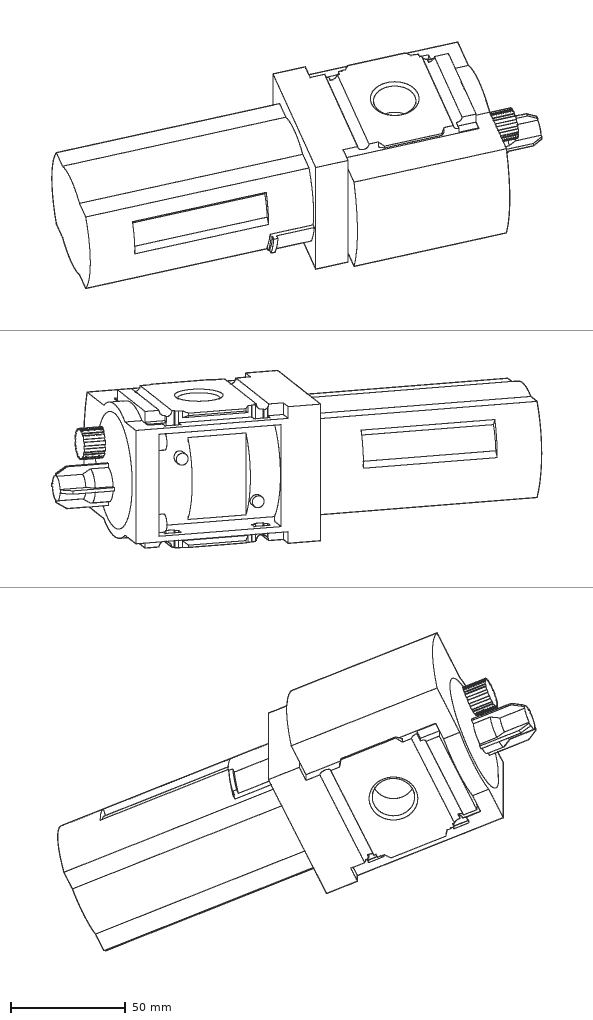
import cadquery as cq
import math


overall_width = 75.7
overall_length = 215.8
overall_height = 62.0

knob_top_y = 65.5
dial_top_y = 51.5
dome_top_y = 41.9
head_top_y = 38.8
cap_bottom_y = 31.0
frame_bottom_y = -31.3
flange_bottom_y = -46.2
bowl_bottom_y = -149.0
bowl_tip_y = knob_top_y - overall_length

head_half_x = 31.0
head_half_z = overall_height / 2
frame_half_z = 25.7
core_half_x = 24.0
barrel_radius = 30.0
cover_edge_x = 39.7
cover_face_x = overall_width - head_half_x
corner_notch_width = 3.9
corner_notch_end_y = 22.0
corner_notch_floor_z = 26.1
groove_radius = 2.5
groove_y = 22.0

port_diameter = 18.5
port_mouth_diameter = 21.4
port_mouth_depth = 1.3
port_depth = 17.3

window_half_y = 28.0
window_half_z = 23.0
barrel_half_z = 21.0
window_fillet = 0.9
flat_half_z = 18.5
flat_top_y = 12.5
flat_bottom_y = -14.2
pin_diameter = 5.5
pin_y = 17.5
pin_z = 11.0
screw_radius = 4.0
screw_x = -26.0
screw_z = 18.5
screw_end_y = 24.2

pad_base_half_y = 15.0
pad_tip_half_y = 13.2
pad_tip_x = 26.8
pad_base_bottom_z = 27.8
pad_tip_top_z = 30.5
pad_tip_bottom_z = 29.3
slot_y = 20.5
slot_half_y = 3.7
slot_neck_half_y = 2.05
slot_outer_x = -27.2
slot_step_x = -23.7
slot_inner_x = -22.2

bowl_half_x = 28.0
bowl_corner_x = 21.4
bowl_flat_z = 21.8
bowl_bulge_radius = 25.0
base_ring_radius = 21.5
base_disc_radius = 11.9
sight_top_y = -67.0
sight_bottom_y = -128.5
sight_floor_radius = 26.1
sight_clearance = 2.2
sight_outer_z = (-0.5, 16.0)
sight_floor_z = (2.2, 13.2)
latch_z = (-19.6, -7.3)
latch_thickness = 1.7
latch_end_y = -66.0
latch_nub_height = 3.5
latch_nub_y = (-65.4, -63.5)

dome_radius = 26.0
dome_flat_radius = 13.5
knob_z = -6.0
knob_stem_radius = 5.6
knob_body_radius = 7.8
knob_cone_y = (50.0, 53.7)
fin_half_width = 9.5
fin_top_half_width = 6.5
fin_chamfer_y = 60.9
fin_thickness = 1.5
dial_x = 10.1
dial_z = 10.4
dial_radius = 7.0
dial_groove_count = 14
dial_groove_width = 1.3
dial_groove_depth = 0.55


def block(x_range, y_range, z_range):
    """Box between two limits along each axis."""
    size = [abs(r[1] - r[0]) for r in (x_range, y_range, z_range)]
    middle = tuple((r[0] + r[1]) / 2 for r in (x_range, y_range, z_range))
    return cq.Workplane("XY").box(*size).translate(middle)


def section_at(y_level):
    """Sketch plane across the Y axis, with local axes X and Z; extrudes toward -Y."""
    return cq.Workplane("XZ", origin=(0, y_level, 0))


def cylinder_y(x, z, radius, y_top, y_bottom):
    return section_at(y_top).center(x, z).circle(radius).extrude(y_top - y_bottom)


def both_z(solid):
    """The solid together with its mirror image below Z = 0."""
    return solid.union(solid.mirror("XY"))


def arc_radius(half_chord, rise):
    return (half_chord**2 + rise**2) / (2 * rise)


def make_frame():
    """Cap and side arms, with the rounded cover on +X."""
    frame = (
        section_at(head_top_y)
        .moveTo(-head_half_x, -frame_half_z)
        .lineTo(cover_edge_x, -frame_half_z)
        .threePointArc((cover_face_x, 0), (cover_edge_x, frame_half_z))
        .lineTo(-head_half_x, frame_half_z)
        .close()
        .extrude(head_top_y - frame_bottom_y)
    )
    return frame.union(cylinder_y(0, 0, barrel_radius, head_top_y, cap_bottom_y))


def make_core():
    """Valve core with cross grooves and corner notches."""
    core = block(
        (-core_half_x, core_half_x), (frame_bottom_y, cap_bottom_y), (-head_half_z, head_half_z)
    )
    for y in (-groove_y, groove_y):
        groove = (
            cq.Workplane("YZ", origin=(-core_half_x, 0, 0))
            .center(y, head_half_z)
            .circle(groove_radius)
            .extrude(2 * core_half_x)
        )
        core = core.cut(both_z(groove))

    for side in (-1, 1):
        notch = block(
            (side * (core_half_x - corner_notch_width), side * core_half_x),
            (corner_notch_end_y, cap_bottom_y),
            (corner_notch_floor_z, head_half_z),
        )
        core = core.cut(both_z(notch))
    return core


def make_window():
    """Recess in the -X side around a round barrel that carries a flat."""
    recess_floor_x = -math.sqrt(barrel_radius**2 - barrel_half_z**2)
    flat_x = -math.sqrt(barrel_radius**2 - flat_half_z**2)
    recess = block(
        (-head_half_x, recess_floor_x),
        (-window_half_y, window_half_y),
        (-window_half_z, window_half_z),
    )
    recess = recess.edges("|Y and >X").fillet(window_fillet)
    barrel = cylinder_y(0, 0, barrel_radius, window_half_y, -window_half_y)
    flat = block(
        (-barrel_radius, flat_x), (flat_bottom_y, flat_top_y), (-flat_half_z, flat_half_z)
    )
    return recess.cut(barrel.cut(flat))


def make_port():
    straight = (
        cq.Workplane("XY", origin=(0, 0, head_half_z - port_depth))
        .circle(port_diameter / 2)
        .extrude(port_depth)
    )
    mouth = (
        cq.Workplane("XY", origin=(0, 0, head_half_z - port_mouth_depth))
        .circle(port_diameter / 2)
        .workplane(offset=port_mouth_depth)
        .circle(port_mouth_diameter / 2)
        .loft()
    )
    return straight.union(mouth)


def make_pad():
    """Tapered pad on the -X flank of the core, just below its top face."""
    base_mid_z = (head_half_z + pad_base_bottom_z) / 2
    tip_mid_z = (pad_tip_top_z + pad_tip_bottom_z) / 2
    return (
        cq.Workplane("YZ", origin=(-core_half_x, 0, 0))
        .center(0, base_mid_z)
        .rect(2 * pad_base_half_y, head_half_z - pad_base_bottom_z)
        .workplane(offset=core_half_x - pad_tip_x)
        .center(0, tip_mid_z - base_mid_z)
        .rect(2 * pad_tip_half_y, pad_tip_top_z - pad_tip_bottom_z)
        .loft()
    )


def make_key_slot(y):
    """Slot down through the -X arm with a narrower neck in the core."""
    z_range = (window_half_z, head_half_z)
    wide = block((slot_outer_x, slot_step_x), (y - slot_half_y, y + slot_half_y), z_range)
    neck_range = (y - slot_neck_half_y, y + slot_neck_half_y)
    return wide.union(block((slot_outer_x, slot_inner_x), neck_range, z_range))


def make_window_pins():
    """Two pins flush with the -X face and two screw ends on the window's +Y wall."""
    pins = (
        cq.Workplane("YZ", origin=(-head_half_x, 0, 0))
        .pushPoints([(pin_y, pin_z), (-pin_y, -pin_z)])
        .circle(pin_diameter / 2)
        .extrude(head_half_x - core_half_x)
    )
    screw = cylinder_y(screw_x, screw_z, screw_radius, window_half_y, screw_end_y)
    return pins.union(both_z(screw))


def make_head():
    flange = block(
        (-head_half_x, head_half_x), (flange_bottom_y, frame_bottom_y), (-head_half_z, head_half_z)
    )
    pads = both_z(make_pad())
    head = make_frame().union(make_core()).union(flange)
    head = head.union(pads).union(pads.mirror("YZ"))
    head = head.cut(both_z(make_port())).cut(make_window())
    for y in (-slot_y, slot_y):
        head = head.cut(both_z(make_key_slot(y)))
    return head.union(make_window_pins())


bowl_side_radius = arc_radius(bowl_flat_z, bowl_half_x - bowl_corner_x)


def bowl_side_x(z, offset=0.0):
    """X of the bowl's +X side at height z, with the surface moved outward by offset."""
    center_x = bowl_half_x - bowl_side_radius
    return center_x + math.sqrt((bowl_side_radius + offset) ** 2 - z**2)


def side_band(z_range, outer, inner, y_top, y_bottom):
    """Bar that follows the bowl's +X side between two offsets of its surface."""
    z_low, z_high = z_range
    z_middle = (z_low + z_high) / 2
    return (
        section_at(y_top)
        .moveTo(bowl_side_x(z_low, outer), z_low)
        .threePointArc((bowl_side_x(z_middle, outer), z_middle), (bowl_side_x(z_high, outer), z_high))
        .lineTo(bowl_side_x(z_high, inner), z_high)
        .threePointArc((bowl_side_x(z_middle, inner), z_middle), (bowl_side_x(z_low, inner), z_low))
        .close()
        .extrude(y_top - y_bottom)
    )


def make_sight():
    """Window recess in the bowl's +X side with slanted walls and a round floor."""
    floor_low, floor_high = sight_floor_z
    floor_middle = (floor_low + floor_high) / 2
    outer_low, outer_high = sight_outer_z

    def floor_point(z):
        return (math.sqrt(sight_floor_radius**2 - z**2), z)

    return (
        section_at(sight_top_y)
        .moveTo(*floor_point(floor_low))
        .threePointArc(floor_point(floor_middle), floor_point(floor_high))
        .lineTo(bowl_side_x(outer_high), outer_high)
        .lineTo(bowl_half_x + sight_clearance, outer_high)
        .lineTo(bowl_half_x + sight_clearance, outer_low)
        .lineTo(bowl_side_x(outer_low), outer_low)
        .close()
        .extrude(sight_top_y - sight_bottom_y)
    )


def make_bowl():
    bowl = (
        section_at(flange_bottom_y)
        .moveTo(-bowl_corner_x, -bowl_flat_z)
        .lineTo(bowl_corner_x, -bowl_flat_z)
        .threePointArc((bowl_half_x, 0), (bowl_corner_x, bowl_flat_z))
        .lineTo(-bowl_corner_x, bowl_flat_z)
        .threePointArc((-bowl_half_x, 0), (-bowl_corner_x, -bowl_flat_z))
        .close()
        .extrude(flange_bottom_y - bowl_bottom_y)
    )
    bowl = bowl.union(cylinder_y(0, 0, bowl_bulge_radius, flange_bottom_y, bowl_bottom_y))
    base = (
        section_at(bowl_bottom_y)
        .circle(base_ring_radius)
        .workplane(offset=bowl_bottom_y - bowl_tip_y)
        .circle(base_disc_radius)
        .loft()
    )
    sight = make_sight()
    return bowl.union(base).cut(sight).cut(sight.mirror("YZ"))


def make_latch():
    """Thin latch strip on the +X side with a raised nub near its end."""
    root = -latch_thickness
    nub_bottom_y, nub_top_y = latch_nub_y
    strip = side_band(latch_z, latch_thickness, root, flange_bottom_y, latch_end_y)
    nub = side_band(latch_z, latch_nub_height, root, nub_top_y, nub_bottom_y)
    return strip.union(nub)


def make_dome():
    rise = dome_top_y - head_top_y
    edge_radius = arc_radius(dome_radius - dome_flat_radius, rise)
    middle_r = (dome_radius + dome_flat_radius) / 2
    edge_center_y = dome_top_y - edge_radius
    middle_y = edge_center_y + math.sqrt(edge_radius**2 - (middle_r - dome_flat_radius) ** 2)
    return (
        cq.Workplane("XY")
        .moveTo(0, head_top_y)
        .lineTo(dome_radius, head_top_y)
        .threePointArc((middle_r, middle_y), (dome_flat_radius, dome_top_y))
        .lineTo(0, dome_top_y)
        .close()
        .revolve(360, (0, 0, 0), (0, 1, 0))
    )


def make_knob():
    """Stepped stem with four chamfered fins."""
    cone_bottom_y, cone_top_y = knob_cone_y
    stem = (
        cq.Workplane("XY")
        .moveTo(0, head_top_y)
        .lineTo(knob_body_radius, head_top_y)
        .lineTo(knob_body_radius, cone_bottom_y)
        .lineTo(knob_stem_radius, cone_top_y)
        .lineTo(knob_stem_radius, knob_top_y)
        .lineTo(0, knob_top_y)
        .close()
        .revolve(360, (0, 0, 0), (0, 1, 0))
    )
    fin = (
        cq.Workplane("XY")
        .moveTo(-fin_half_width, head_top_y)
        .lineTo(fin_half_width, head_top_y)
        .lineTo(fin_half_width, fin_chamfer_y)
        .lineTo(fin_top_half_width, knob_top_y)
        .lineTo(-fin_top_half_width, knob_top_y)
        .lineTo(-fin_half_width, fin_chamfer_y)
        .close()
        .extrude(fin_thickness / 2, both=True)
    )
    cross_fin = fin.rotate((0, 0, 0), (0, 1, 0), 90)
    return stem.union(fin).union(cross_fin).translate((0, 0, knob_z))


def make_dial():
    """Small round dial with grooves around its rim."""
    height = dial_top_y - head_top_y
    grooves = (
        section_at(dial_top_y)
        .polarArray(dial_radius, 0, 360, dial_groove_count)
        .rect(2 * dial_groove_depth, dial_groove_width)
        .extrude(height)
    )
    dial = section_at(dial_top_y).circle(dial_radius).extrude(height).cut(grooves)
    return dial.translate((dial_x, 0, dial_z))


result = make_head().union(make_bowl()).union(make_latch())
result = result.union(make_dome()).union(make_knob()).union(make_dial())